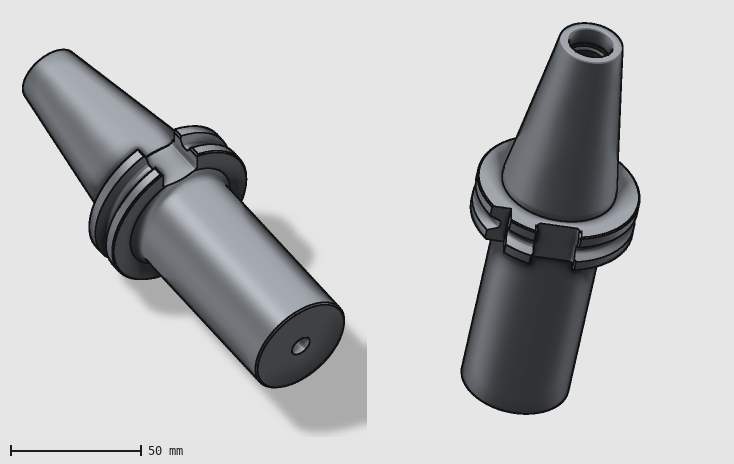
import cadquery as cq
import math

total_length = 167.4

gauge_x = 68.1
gauge_radius = 22.3
taper_rise = 7 / 48
small_end_fillet = 0.8
collar_fillet = 0.5

flange_front_x = 71.1
flange_back_x = 87.4
flange_radius = 63.5 / 2
flange_chamfer = 0.5

groove_center_x = 79.3
groove_floor_radius = 28.1
groove_floor_width = 3.0
groove_half_angle = 30
groove_fillet = 1.2

body_radius = 42.0 / 2
body_chamfer = 0.7
neck_length = 4.0
neck_radius = 23.5

cut_margin = 1.7

slot_half_width = 8.0
slot_corner_fillet = 1.5
slot_edge_chamfer = 1.0
top_slot_floor = 22.5
bottom_slot_floor = 24.8

notch_y = 18.5
notch_z = -18.2

bore_radius = 8.5
bore_depth = 7.0
mouth_fillet = 0.8
pilot_radius = 8.4
pilot_length = 1.3
thread_radius = 6.9
thread_depth = 30.1
coolant_radius = 4.2
cone_half_angle = 60


def point_on_circle(center, radius, angle):
    """Point on a circle at the given angle in degrees."""
    return (
        center[0] + radius * math.cos(math.radians(angle)),
        center[1] + radius * math.sin(math.radians(angle)),
    )


def revolve_about_x(outline):
    """Revolve a closed outline drawn in X and radius about the X axis."""
    return outline.close().revolve(360, (0, 0, 0), (1, 0, 0))


def make_blank():
    """Taper, collar, flange, neck and body as one turned solid."""
    small_end_radius = gauge_radius - gauge_x * taper_rise
    taper_angle = math.degrees(math.atan(taper_rise))
    small_end_center = (
        small_end_fillet,
        small_end_radius + small_end_fillet * (taper_rise - math.hypot(1, taper_rise)),
    )
    small_end_middle = point_on_circle(small_end_center, small_end_fillet, 135 + taper_angle / 2)
    taper_start = point_on_circle(small_end_center, small_end_fillet, 90 + taper_angle)
    neck_rise = neck_radius - body_radius
    neck_end_x = flange_back_x + neck_length
    neck_arc_radius = (neck_length**2 + neck_rise**2) / (2 * neck_rise)
    neck_sweep = math.degrees(math.asin(neck_length / neck_arc_radius))
    neck_center = (neck_end_x, body_radius + neck_arc_radius)
    neck_middle = point_on_circle(neck_center, neck_arc_radius, 270 - neck_sweep / 2)
    collar_end_x = flange_front_x - collar_fillet
    collar_center = (collar_end_x, gauge_radius + collar_fillet)
    collar_middle = point_on_circle(collar_center, collar_fillet, 315)
    outline = (
        cq.Workplane("XZ")
        .moveTo(0, 0)
        .lineTo(0, small_end_center[1])
        .threePointArc(small_end_middle, taper_start)
        .lineTo(gauge_x, gauge_radius)
        .lineTo(collar_end_x, gauge_radius)
        .threePointArc(collar_middle, (flange_front_x, gauge_radius + collar_fillet))
        .lineTo(flange_front_x, flange_radius - flange_chamfer)
        .lineTo(flange_front_x + flange_chamfer, flange_radius)
        .lineTo(flange_back_x - flange_chamfer, flange_radius)
        .lineTo(flange_back_x, flange_radius - flange_chamfer)
        .lineTo(flange_back_x, neck_radius)
        .threePointArc(neck_middle, (neck_end_x, body_radius))
        .lineTo(total_length - body_chamfer, body_radius)
        .lineTo(total_length, body_radius - body_chamfer)
        .lineTo(total_length, 0)
    )
    return revolve_about_x(outline)


def make_groove():
    """Ring with sloped sides that cuts the V-groove, rounded at its floor corners."""
    half_floor = groove_floor_width / 2
    top_radius = flange_radius + cut_margin
    side_slope = math.tan(math.radians(groove_half_angle))
    half_top = half_floor + (top_radius - groove_floor_radius) * side_slope
    outline = (
        cq.Workplane("XZ")
        .moveTo(groove_center_x - half_floor, groove_floor_radius)
        .lineTo(groove_center_x + half_floor, groove_floor_radius)
        .lineTo(groove_center_x + half_top, top_radius)
        .lineTo(groove_center_x - half_top, top_radius)
    )
    ring = revolve_about_x(outline)
    floor_corners = cq.selectors.RadiusNthSelector(0)
    return ring.edges(floor_corners).fillet(groove_fillet)


def make_slot(floor_z):
    """Drive slot on the +Z side, with rounded floor corners and chamfered outer and front edges."""
    edge_z = math.sqrt(flange_radius**2 - slot_half_width**2)
    top_z = flange_radius + cut_margin
    length = flange_back_x - flange_front_x + neck_length
    channel = (
        cq.Workplane("XY")
        .box(length, 2 * slot_half_width, top_z - floor_z, centered=(False, True, False))
        .edges("|X and <Z")
        .fillet(slot_corner_fillet)
        .translate((flange_front_x, 0, floor_z))
    )
    flare_z = edge_z - slot_edge_chamfer
    flare_half_width = slot_half_width + top_z - flare_z
    outer_flare = (
        cq.Workplane("YZ", origin=(flange_front_x, 0, 0))
        .moveTo(-slot_half_width, flare_z)
        .lineTo(slot_half_width, flare_z)
        .lineTo(flare_half_width, top_z)
        .lineTo(-flare_half_width, top_z)
        .close()
        .extrude(length)
    )
    front_half_width = slot_half_width + slot_edge_chamfer
    front_flare = (
        cq.Workplane("XY", origin=(0, 0, floor_z + slot_corner_fillet))
        .moveTo(flange_front_x, -front_half_width)
        .lineTo(flange_front_x + slot_edge_chamfer, -slot_half_width)
        .lineTo(flange_front_x + slot_edge_chamfer, slot_half_width)
        .lineTo(flange_front_x, front_half_width)
        .close()
        .extrude(top_z - floor_z)
    )
    return channel.union(outer_flare).union(front_flare)


def make_notch():
    """Corner block that cuts the orientation notch through the whole flange."""
    flange_width = flange_back_x - flange_front_x
    return (
        cq.Workplane("XY")
        .box(flange_width, flange_radius, flange_radius, centered=False)
        .translate((flange_front_x, notch_y, notch_z - flange_radius))
    )


def make_bore():
    """Chamfered bore that steps down through two cones to the through coolant hole."""
    cone_slope = math.tan(math.radians(cone_half_angle))
    pilot_start_x = bore_depth + bore_radius - pilot_radius
    pilot_end_x = pilot_start_x + pilot_length
    thread_start_x = pilot_end_x + (pilot_radius - thread_radius) / cone_slope
    coolant_start_x = thread_depth + (thread_radius - coolant_radius) / cone_slope
    mouth_middle = point_on_circle((mouth_fillet, bore_radius + mouth_fillet), mouth_fillet, 225)
    outline = (
        cq.Workplane("XZ")
        .moveTo(0, 0)
        .lineTo(0, bore_radius + mouth_fillet)
        .threePointArc(mouth_middle, (mouth_fillet, bore_radius))
        .lineTo(bore_depth, bore_radius)
        .lineTo(pilot_start_x, pilot_radius)
        .lineTo(pilot_end_x, pilot_radius)
        .lineTo(thread_start_x, thread_radius)
        .lineTo(thread_depth, thread_radius)
        .lineTo(coolant_start_x, coolant_radius)
        .lineTo(total_length, coolant_radius)
        .lineTo(total_length, 0)
    )
    return revolve_about_x(outline)


def make_holder():
    """The complete tool holder."""
    top_slot = make_slot(top_slot_floor)
    bottom_slot = make_slot(bottom_slot_floor).rotate((0, 0, 0), (1, 0, 0), 180)
    return (
        make_blank()
        .cut(make_groove())
        .cut(top_slot)
        .cut(bottom_slot)
        .cut(make_notch())
        .cut(make_bore())
    )


holder = make_holder()
result = cq.Compound.makeCompound([holder.val()])